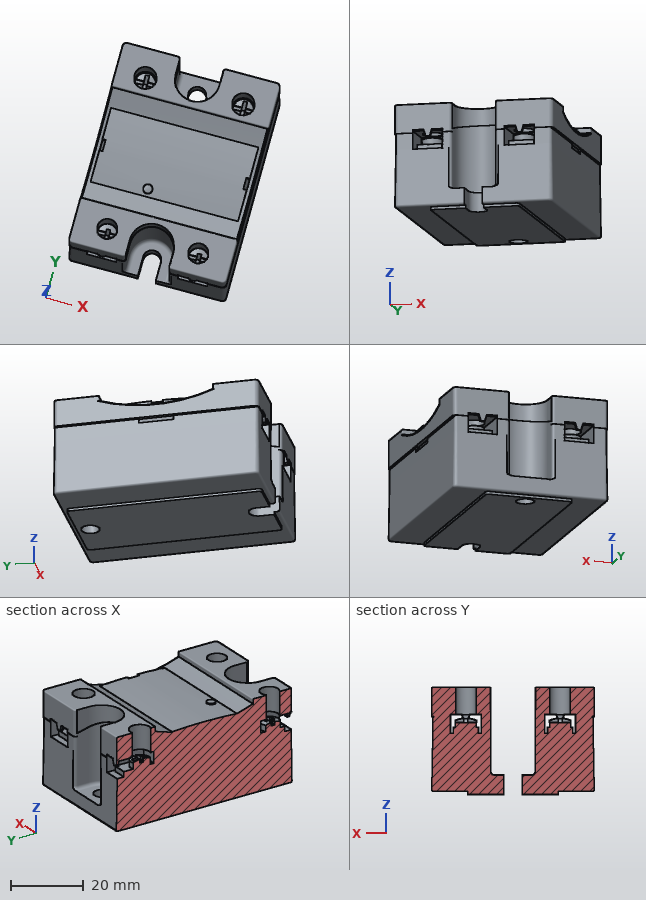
import cadquery as cq
import math

BASE_LENGTH = 58.2
BASE_WIDTH = 44.8
TOTAL_HEIGHT = 29.5
PLATE_LENGTH = 55.0
PLATE_WIDTH = 25.0
PLATE_HEIGHT = 0.8
PLATE_CORNER_RADIUS = 0.9
COLLAR_Z = 16.9
LID_Z = 21.4
LID_WIDTH = BASE_WIDTH
CORNER_RADIUS = 1.15
BASE_EDGE_RADIUS = 0.6
COLLAR_CHAMFER = 0.3
LID_EDGE_RADIUS = 0.35
DRAFT_INSET = 0.28
COLLAR_LENGTH = BASE_LENGTH - 2 * DRAFT_INSET
COLLAR_WIDTH = BASE_WIDTH - 2 * DRAFT_INSET
LID_OVERHANG = 0.1
LID_LENGTH = COLLAR_LENGTH + 2 * LID_OVERHANG

NOTCH_CENTRE_Y = 24.1
NOTCH_RADIUS = 6.14
RELIEF_RADIUS = 6.22
NOTCH_FLOOR_Z = 5.4
NOTCH_FLOOR_FILLET = 1.05
NOTCH_MOUTH_RADIUS = 0.85
STEP_INNER_Z = 24.7
STEP_ANGLE = 13.0
BOLT_DIAMETER = 5.1
BOLT_HOLE_Y = 23.75
BOLT_SLOT_Y = -23.55

TROUGH_HALF_LENGTH = 16.05
TROUGH_EDGE_Z = 28.0
TROUGH_BOTTOM_Z = 25.2
PANEL_LENGTH = 21.4
PANEL_WIDTH = 42.0
PANEL_EDGE_Z = 26.45
PANEL_CROWN_Z = 26.8
CLIP_LENGTH = 3.3
CLIP_WIDTH = 0.95
CLIP_BOTTOM_Z = 23.5
LED_X = -5.26
LED_Y = -8.54
LED_DIAMETER = 2.6
LED_DOME_Z = 26.95
LED_TOP_Z = 27.1

FRONT_SCREW_X = 12.97
FRONT_SCREW_Y = -22.7
FRONT_SHAFT_DIAMETER = 5.6
FRONT_CROSS_LENGTH = 3.0
REAR_SCREW_X = 13.95
REAR_SCREW_Y = 20.7
REAR_SHAFT_DIAMETER = 6.2
REAR_CROSS_LENGTH = 5.8
CAVITY_WIDTH = 8.4
CAVITY_MARGIN = 4.0
CAVITY_TOP_Z = 21.95
CAVITY_MOUTH_TOP_Z = 22.3
CAVITY_MOUTH_DEPTH = 0.4
CLAMP_WIDTH = 7.0
CLAMP_TOP_Z = 18.5
CLAMP_SETBACK = 2.3
TAB_TOP_WIDTH = 2.4
TAB_BOTTOM_WIDTH = 1.2
TAB_BOTTOM_Z = 20.4
TAB_THICKNESS = 0.8
HEAD_DIAMETER = 6.0
HEAD_RIM_Z = 20.4
HEAD_TOP_Z = 21.0
DRIVER_SLOT_WIDTH = 1.08
DRIVER_SLOT_DEPTH = 1.2
CROSS_DEPTH = 1.9

PRY_LENGTH = 9.85
PRY_BOTTOM_Z = 19.9
PRY_DEPTH = 0.8

CLEARANCE = 1.0
PICK_MARGIN = 0.1


def block(width, length, bottom, top, x=0.0, y=0.0):
    """Box centred on (x, y) between two levels."""
    return cq.Workplane("XY", origin=(x, y, bottom)).box(
        width, length, top - bottom, centered=(True, True, False))


def disc(diameter, bottom, top, x=0.0, y=0.0):
    """Upright cylinder between two levels."""
    return cq.Workplane("XY", origin=(x, y, bottom)).circle(diameter / 2).extrude(top - bottom)


def notch_prism(end, radius, bottom):
    """U-shaped prism opening through the end wall at +Y (end = 1) or -Y (end = -1)."""
    centre_y = end * NOTCH_CENTRE_Y
    outside_y = end * BASE_LENGTH
    return (
        cq.Workplane("XY", origin=(0, 0, bottom))
        .moveTo(-radius, outside_y)
        .lineTo(-radius, centre_y)
        .threePointArc((0, centre_y - end * radius), (radius, centre_y))
        .lineTo(radius, outside_y)
        .close()
        .extrude(TOTAL_HEIGHT + CLEARANCE - bottom)
    )


def flared_notch(end, face_distance):
    """Notch prism with a quarter-round flare at each upright edge of its mouth.

    The flares meet an end wall at face_distance from the part centre.
    """
    centre_y = end * NOTCH_CENTRE_Y
    face_y = end * face_distance
    outside_y = end * BASE_LENGTH
    flare_start_y = face_y - end * NOTCH_MOUTH_RADIUS
    flare_x = NOTCH_RADIUS + NOTCH_MOUTH_RADIUS
    bend = NOTCH_MOUTH_RADIUS * (1 - math.sqrt(0.5))
    bend_x = NOTCH_RADIUS + bend
    bend_y = face_y - end * bend
    return (
        cq.Workplane("XY", origin=(0, 0, NOTCH_FLOOR_Z))
        .moveTo(-flare_x, outside_y)
        .lineTo(-flare_x, face_y)
        .threePointArc((-bend_x, bend_y), (-NOTCH_RADIUS, flare_start_y))
        .lineTo(-NOTCH_RADIUS, centre_y)
        .threePointArc((0, centre_y - end * NOTCH_RADIUS), (NOTCH_RADIUS, centre_y))
        .lineTo(NOTCH_RADIUS, flare_start_y)
        .threePointArc((bend_x, bend_y), (flare_x, face_y))
        .lineTo(flare_x, outside_y)
        .close()
        .extrude(TOTAL_HEIGHT)
    )


def make_base():
    """Drafted lower walls, straight collar and heat-sink plate, with both notches."""
    wall_height = COLLAR_Z - PLATE_HEIGHT
    draft = math.degrees(math.atan(DRAFT_INSET / wall_height))
    walls = (
        cq.Workplane("XY", origin=(0, 0, PLATE_HEIGHT))
        .sketch().rect(BASE_WIDTH, BASE_LENGTH).vertices().fillet(CORNER_RADIUS).finalize()
        .extrude(wall_height, taper=draft)
        .faces("<Z").edges().fillet(BASE_EDGE_RADIUS)
    )
    collar = block(COLLAR_WIDTH, COLLAR_LENGTH, COLLAR_Z, LID_Z)
    collar = collar.faces(">Z").edges("|Y").chamfer(COLLAR_CHAMFER)
    collar = collar.edges("|Z").fillet(CORNER_RADIUS - DRAFT_INSET)
    plate = block(PLATE_WIDTH, PLATE_LENGTH, 0, PLATE_HEIGHT)
    plate = plate.edges("|Z").fillet(PLATE_CORNER_RADIUS)

    base = walls.union(collar).union(plate)
    for end in (-1, 1):
        notch = flared_notch(end, COLLAR_LENGTH / 2)
        base = base.cut(notch.faces("<Z").edges().fillet(NOTCH_FLOOR_FILLET))
    return base


def make_lid():
    """Lid block with notches, a concave trough across its top and rounded upper edges."""
    lid = block(LID_WIDTH, LID_LENGTH, LID_Z, TOTAL_HEIGHT).edges("|Z").fillet(CORNER_RADIUS)
    for end in (-1, 1):
        lid = lid.cut(flared_notch(end, LID_LENGTH / 2))

    trough = (
        cq.Workplane("YZ")
        .moveTo(-TROUGH_HALF_LENGTH, TOTAL_HEIGHT + CLEARANCE)
        .lineTo(-TROUGH_HALF_LENGTH, TROUGH_EDGE_Z)
        .threePointArc((0, TROUGH_BOTTOM_Z), (TROUGH_HALF_LENGTH, TROUGH_EDGE_Z))
        .lineTo(TROUGH_HALF_LENGTH, TOTAL_HEIGHT + CLEARANCE)
        .close()
        .extrude(BASE_WIDTH, both=True)
    )
    lid = lid.cut(trough)
    trough_rims = lid.faces("<X or >X").edges(cq.selectors.BoxSelector(
        (-BASE_WIDTH, -TROUGH_HALF_LENGTH - PICK_MARGIN, LID_Z + CLEARANCE),
        (BASE_WIDTH, TROUGH_HALF_LENGTH + PICK_MARGIN, TOTAL_HEIGHT - PICK_MARGIN)))
    return trough_rims.add(lid.faces(">Z").edges()).fillet(LID_EDGE_RADIUS)


def notch_relief(end):
    """Thin widening of the notch wall above a step that slopes down towards the outside."""
    inner_y = NOTCH_CENTRE_Y - RELIEF_RADIUS
    outer_y = LID_LENGTH / 2 - NOTCH_MOUTH_RADIUS
    outer_z = STEP_INNER_Z - (outer_y - inner_y) * math.tan(math.radians(STEP_ANGLE))
    above_step = (
        cq.Workplane("YZ")
        .polyline([
            (end * inner_y, STEP_INNER_Z),
            (end * outer_y, outer_z),
            (end * outer_y, TOTAL_HEIGHT + CLEARANCE),
            (end * inner_y, TOTAL_HEIGHT + CLEARANCE),
        ])
        .close()
        .extrude(BASE_WIDTH, both=True)
    )
    return notch_prism(end, RELIEF_RADIUS, COLLAR_Z).intersect(above_step)


def make_panel():
    """Slightly crowned label panel bridging the trough, with an LED lens on it."""
    half = PANEL_LENGTH / 2
    panel = (
        cq.Workplane("YZ")
        .moveTo(-half, LID_Z)
        .lineTo(-half, PANEL_EDGE_Z)
        .threePointArc((0, PANEL_CROWN_Z), (half, PANEL_EDGE_Z))
        .lineTo(half, LID_Z)
        .close()
        .extrude(PANEL_WIDTH / 2, both=True)
    )
    led = disc(LED_DIAMETER, LID_Z, LED_DOME_Z, LED_X, LED_Y)
    dome = domed_cap(LED_DIAMETER, LED_DOME_Z, LED_TOP_Z, LED_X, LED_Y)
    return panel.union(led).union(dome)


def clip_notch(side):
    """Steep wedge cut into the middle of a short edge of the label panel."""
    outer_x = side * PANEL_WIDTH / 2
    inner_x = outer_x - side * CLIP_WIDTH
    return (
        cq.Workplane("XZ")
        .polyline([
            (inner_x, PANEL_CROWN_Z),
            (outer_x, CLIP_BOTTOM_Z),
            (outer_x, PANEL_CROWN_Z),
        ])
        .close()
        .extrude(CLIP_LENGTH / 2, both=True)
    )


def domed_cap(diameter, rim, top, x, y):
    """Spherical cap of the given rim diameter between two levels."""
    rise = top - rim
    radius = ((diameter / 2) ** 2 + rise ** 2) / (2 * rise)
    ball = cq.Workplane("XY", origin=(x, y, top - radius)).sphere(radius)
    return ball.intersect(block(diameter, diameter, rim, top, x, y))


def add_terminal(body, x, y, shaft_diameter, cross_length):
    """Wire cavity, clamp plate, hanging tab and screw head below an access shaft."""
    end = math.copysign(1, y)
    inner_y = abs(y) - CAVITY_MARGIN
    cavity_length = BASE_LENGTH / 2 - inner_y
    cavity_y = end * (inner_y + cavity_length / 2)
    face_y = LID_LENGTH / 2
    mouth_y = end * face_y
    clamp_length = face_y - CLAMP_SETBACK - inner_y
    clamp_y = end * (inner_y + clamp_length / 2)

    body = body.cut(block(CAVITY_WIDTH, cavity_length, COLLAR_Z, CAVITY_TOP_Z, x, cavity_y))
    body = body.cut(block(CAVITY_WIDTH, 2 * CAVITY_MOUTH_DEPTH, COLLAR_Z, CAVITY_MOUTH_TOP_Z, x, mouth_y))
    body = body.cut(disc(shaft_diameter, CLAMP_TOP_Z, TOTAL_HEIGHT + CLEARANCE, x, y))
    body = body.union(block(CLAMP_WIDTH, clamp_length, COLLAR_Z, CLAMP_TOP_Z, x, clamp_y))

    tab = (
        cq.Workplane("XZ", origin=(x, mouth_y, 0))
        .polyline([
            (-TAB_TOP_WIDTH / 2, CAVITY_MOUTH_TOP_Z),
            (-TAB_BOTTOM_WIDTH / 2, TAB_BOTTOM_Z),
            (TAB_BOTTOM_WIDTH / 2, TAB_BOTTOM_Z),
            (TAB_TOP_WIDTH / 2, CAVITY_MOUTH_TOP_Z),
        ])
        .close()
        .extrude(end * TAB_THICKNESS)
    )
    head = disc(HEAD_DIAMETER, CLAMP_TOP_Z, HEAD_RIM_Z, x, y)
    head = head.union(domed_cap(HEAD_DIAMETER, HEAD_RIM_Z, HEAD_TOP_Z, x, y))
    slot_z = HEAD_TOP_Z - DRIVER_SLOT_DEPTH
    head = head.cut(block(HEAD_DIAMETER, DRIVER_SLOT_WIDTH, slot_z, HEAD_TOP_Z, x, y))
    cross = (
        cq.Workplane("YZ", origin=(x, y, HEAD_TOP_Z))
        .polyline([(-cross_length / 2, 0), (0, -CROSS_DEPTH), (cross_length / 2, 0)])
        .close()
        .extrude(DRIVER_SLOT_WIDTH / 2, both=True)
    )
    head = head.cut(cross)
    return body.union(tab).union(head)


def bolt_openings():
    """Round bolt hole at +Y and open bolt slot at -Y."""
    hole = disc(BOLT_DIAMETER, -CLEARANCE, TOTAL_HEIGHT, 0, BOLT_HOLE_Y)
    slot_end = disc(BOLT_DIAMETER, -CLEARANCE, TOTAL_HEIGHT, 0, BOLT_SLOT_Y)
    slot_run = block(BOLT_DIAMETER, BASE_LENGTH, -CLEARANCE, TOTAL_HEIGHT, 0, BOLT_SLOT_Y - BASE_LENGTH / 2)
    return hole.union(slot_end).union(slot_run)


def pry_recess(side):
    """Wedge-shaped recess just under the lid, in the middle of a long side."""
    wall_x = COLLAR_WIDTH / 2
    return (
        cq.Workplane("XZ")
        .polyline([
            (side * wall_x, PRY_BOTTOM_Z),
            (side * (wall_x - PRY_DEPTH), LID_Z),
            (side * wall_x, LID_Z),
        ])
        .close()
        .extrude(PRY_LENGTH / 2, both=True)
    )


body = make_base().union(make_lid()).union(make_panel())
for end in (-1, 1):
    body = body.cut(notch_relief(end))
for side in (-1, 1):
    body = body.cut(pry_recess(side)).cut(clip_notch(side))
    body = add_terminal(body, side * FRONT_SCREW_X, FRONT_SCREW_Y, FRONT_SHAFT_DIAMETER, FRONT_CROSS_LENGTH)
    body = add_terminal(body, side * REAR_SCREW_X, REAR_SCREW_Y, REAR_SHAFT_DIAMETER, REAR_CROSS_LENGTH)
result = body.cut(bolt_openings())